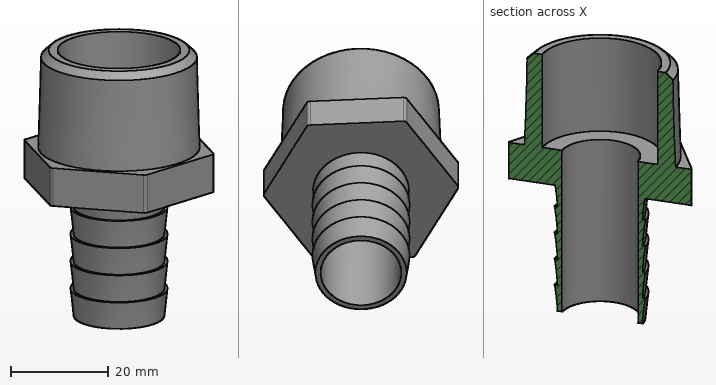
import cadquery as cq

total_height = 57.2
hex_bottom = 28.15
hex_height = 8.2
hex_across_flats = 34.95
hex_corner_radius = 0.85
hex_top = hex_bottom + hex_height

spigot_base_radius = 16.65
spigot_upper_radius = 16.05
spigot_rim_radius = 14.45
rim_chamfer_height = 1.5

ridged_length = 23.45
barb_count = 4
barb_pitch = ridged_length / barb_count
barb_small_radius = 9.4
barb_large_radius = 10.0

through_bore_radius = 8.3
wide_bore_radius = 12.65


def cone(bottom_radius, top_radius, bottom, height):
    """Solid truncated cone standing on the Z axis."""
    profile = [
        (0, bottom),
        (bottom_radius, bottom),
        (top_radius, bottom + height),
        (0, bottom + height),
    ]
    return cq.Workplane("XZ").polyline(profile).close().revolve(360, (0, 0), (0, 1))


def hexagon():
    """Wrench hexagon with flats facing X and rounded corners on Y."""
    return (
        cq.Workplane("XY")
        .workplane(offset=hex_bottom)
        .polygon(6, hex_across_flats, circumscribed=True)
        .extrude(hex_height)
        .edges("|Z")
        .fillet(hex_corner_radius)
    )


def spigot():
    """Tapered spigot with a chamfered rim."""
    taper_height = total_height - rim_chamfer_height - hex_top
    body = cone(spigot_base_radius, spigot_upper_radius, hex_top, taper_height)
    rim = cone(
        spigot_upper_radius,
        spigot_rim_radius,
        total_height - rim_chamfer_height,
        rim_chamfer_height,
    )
    return body.union(rim)


def barbed_tail():
    """Stack of barbs; one more barb ends inside the hexagon."""
    tail = cone(barb_small_radius, barb_large_radius, 0, barb_pitch)
    for index in range(1, barb_count + 1):
        tail = tail.union(
            cone(barb_small_radius, barb_large_radius, index * barb_pitch, barb_pitch)
        )
    return tail


through_bore = cq.Workplane("XY").circle(through_bore_radius).extrude(total_height)

wide_bore = (
    cq.Workplane("XY")
    .workplane(offset=hex_top)
    .circle(wide_bore_radius)
    .extrude(total_height - hex_top)
)

result = hexagon().union(spigot()).union(barbed_tail()).cut(through_bore).cut(wide_bore)